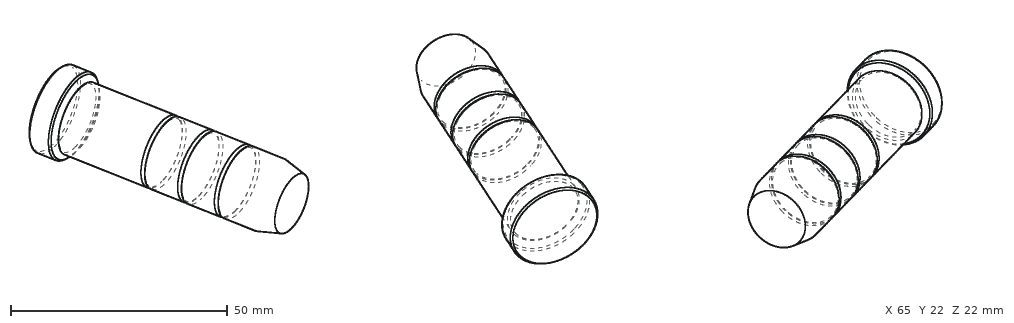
import cadquery as cq

total_length = 65.0
head_diameter = 22.0
head_length = 6.0
head_chamfer = 0.45
shank_diameter = 18.0
tip_diameter = 14.8
tip_length = 6.0

groove_radius = 0.5
first_groove_start = 29.5
groove_pitch = 10.0
groove_count = 3


def make_head():
    """Disc with both rims chamfered."""
    disc = cq.Workplane("YZ").circle(head_diameter / 2).extrude(head_length)
    return disc.edges("%CIRCLE").chamfer(head_chamfer)


def make_shank():
    """Plain cylinder ending in a tapered lead-in tip."""
    shank_radius = shank_diameter / 2
    profile = [
        (0, 0),
        (0, shank_radius),
        (total_length - tip_length, shank_radius),
        (total_length, tip_diameter / 2),
        (total_length, 0),
    ]
    return cq.Workplane("XY").polyline(profile).close().revolve(360, (0, 0), (1, 0))


def make_groove(start):
    """Ring with a half-round floor, to be cut from the shank."""
    shank_radius = shank_diameter / 2
    outer_radius = head_diameter / 2
    end = start + 2 * groove_radius
    floor_point = (start + groove_radius, shank_radius - groove_radius)
    return (
        cq.Workplane("XY")
        .moveTo(start, outer_radius)
        .lineTo(start, shank_radius)
        .threePointArc(floor_point, (end, shank_radius))
        .lineTo(end, outer_radius)
        .close()
        .revolve(360, (0, 0), (1, 0))
    )


groove_starts = [head_length]
for index in range(groove_count):
    groove_starts.append(first_groove_start + index * groove_pitch)

result = make_head().union(make_shank())
for groove_start in groove_starts:
    result = result.cut(make_groove(groove_start))